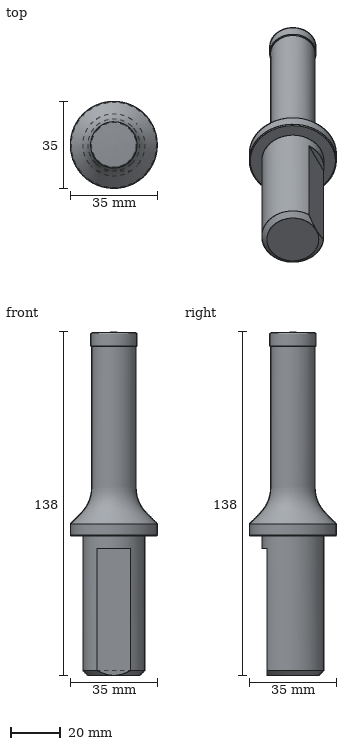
import cadquery as cq
import math

total_height = 138.0
flat_top = 51.0
collar_bottom = 56.0
collar_top = 61.0
cone_top = 65.4
neck_top = 75.5
head_bottom = 132.2

shank_diameter = 25.0
collar_diameter = 35.0
neck_root_diameter = 26.2
shaft_diameter = 18.0
head_diameter = 18.6
inner_face_diameter = 9.7
center_flat_diameter = 1.2

shank_chamfer = 2.1
collar_chamfer = 0.4
flat_distance = 10.5
head_corner = 0.7
head_base_chamfer = 0.35
outer_face_rise = 0.1
inner_face_rise = 0.07

neck_run = (neck_root_diameter - shaft_diameter) / 2
neck_drop = neck_top - cone_top
neck_radius = (neck_run**2 + neck_drop**2) / (2 * neck_run)
neck_half_angle = math.asin(neck_drop / neck_radius) / 2
neck_middle = (
    shaft_diameter / 2 + neck_radius * (1 - math.cos(neck_half_angle)),
    neck_top - neck_radius * math.sin(neck_half_angle),
)


def make_holder():
    """Shank, collar, neck and shaft, with one clamping flat on the -Y side."""
    shank_radius = shank_diameter / 2
    collar_radius = collar_diameter / 2
    holder = (
        cq.Workplane("XZ")
        .moveTo(0, 0)
        .lineTo(shank_radius - shank_chamfer, 0)
        .lineTo(shank_radius, shank_chamfer)
        .lineTo(shank_radius, collar_bottom)
        .lineTo(collar_radius - collar_chamfer, collar_bottom)
        .lineTo(collar_radius, collar_bottom + collar_chamfer)
        .lineTo(collar_radius, collar_top)
        .lineTo(neck_root_diameter / 2, cone_top)
        .threePointArc(neck_middle, (shaft_diameter / 2, neck_top))
        .lineTo(shaft_diameter / 2, head_bottom)
        .lineTo(0, head_bottom)
        .close()
        .revolve(360, (0, 0, 0), (0, 1, 0))
    )
    flat_cut = cq.Workplane("XY").box(
        shank_diameter, shank_diameter, flat_top, centered=(True, False, False)
    ).translate((0, -flat_distance - shank_diameter, 0))
    return holder.cut(flat_cut)


def make_cutting_head():
    """Slightly wider disc on the shaft end, with shallow conical end faces."""
    head_radius = head_diameter / 2
    inner_edge_height = total_height - inner_face_rise
    outer_edge_height = inner_edge_height - outer_face_rise
    corner_inset = head_corner * (1 - math.sqrt(0.5))
    corner_middle = (head_radius - corner_inset, outer_edge_height - corner_inset)
    return (
        cq.Workplane("XZ")
        .moveTo(0, head_bottom)
        .lineTo(head_radius - head_base_chamfer, head_bottom)
        .lineTo(head_radius, head_bottom + head_base_chamfer)
        .lineTo(head_radius, outer_edge_height - head_corner)
        .threePointArc(corner_middle, (head_radius - head_corner, outer_edge_height))
        .lineTo(inner_face_diameter / 2, inner_edge_height)
        .lineTo(center_flat_diameter / 2, total_height)
        .lineTo(0, total_height)
        .close()
        .revolve(360, (0, 0, 0), (0, 1, 0))
    )


holder = make_holder()
cutting_head = make_cutting_head()

result = cq.Compound.makeCompound([holder.val(), cutting_head.val()])